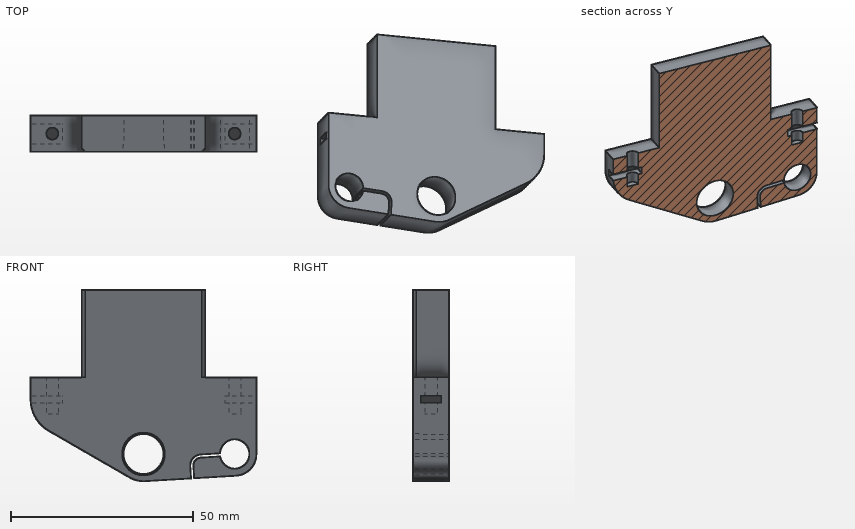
import cadquery as cq
import math

thickness = 10.0
half_width = 31.0
shoulder_z = 21.0

block_half_width = 17.0
block_top_z = 45.0
block_chamfer = 1.0

bore_boss_radius = 7.5
clamp_boss_radius = 6.0
left_corner_radius = 10.0
left_corner_z = 15.0

bore_diameter = 10.95
bore_mouth_diameter = 11.75
bore_taper_depth = 3.0

clamp_x = half_width - clamp_boss_radius
clamp_diameter = 8.0
slit_width = 0.8
slit_length = 11.92
slit_bend_radius = 2.6

screw_x = 25.0
screw_diameter = 3.3
screw_depth = 10.0
nut_width = 5.5
nut_height = 1.9
nut_pocket_roof_depth = 5.0
nut_center_z = shoulder_z - nut_pocket_roof_depth - nut_height / 2
nut_pocket_end_x = screw_x - nut_width / 2

front_y = -thickness / 2
back_y = thickness / 2
bore_center = (0.0, 0.0)
clamp_center = (clamp_x, 0.0)
left_center = (left_corner_radius - half_width, left_corner_z)


def point_at(center, radius, angle):
    """Point on a circle at an angle in radians."""
    return (center[0] + radius * math.cos(angle), center[1] + radius * math.sin(angle))


def lower_tangent_angle(left, left_radius, right, right_radius):
    """Angle of the contact points of the line that touches both circles from below."""
    dx = right[0] - left[0]
    dz = right[1] - left[1]
    slope = math.atan2(dz, dx)
    lift = math.asin((left_radius - right_radius) / math.hypot(dx, dz))
    return slope + lift - math.pi / 2


slope_angle = lower_tangent_angle(left_center, left_corner_radius, bore_center, bore_boss_radius)
base_angle = lower_tangent_angle(bore_center, bore_boss_radius, clamp_center, clamp_boss_radius)


def front_plane(y):
    """XZ workplane at the given Y, with its normal pointing to -Y."""
    return cq.Workplane("XZ", origin=(0, y, 0))


def lower_plate():
    """Plate whose lower outline wraps the left corner, the bore boss and the clamp boss."""
    left_mid = (slope_angle - math.pi) / 2
    bore_mid = (slope_angle + base_angle) / 2
    clamp_mid = base_angle / 2
    outline = (
        front_plane(back_y)
        .moveTo(-half_width, shoulder_z)
        .lineTo(-half_width, left_corner_z)
        .threePointArc(
            point_at(left_center, left_corner_radius, left_mid),
            point_at(left_center, left_corner_radius, slope_angle),
        )
        .lineTo(*point_at(bore_center, bore_boss_radius, slope_angle))
        .threePointArc(
            point_at(bore_center, bore_boss_radius, bore_mid),
            point_at(bore_center, bore_boss_radius, base_angle),
        )
        .lineTo(*point_at(clamp_center, clamp_boss_radius, base_angle))
        .threePointArc(
            point_at(clamp_center, clamp_boss_radius, clamp_mid),
            (half_width, 0),
        )
        .lineTo(half_width, shoulder_z)
        .close()
    )
    return outline.extrude(thickness)


def upper_block():
    """Block on the shoulders with its two front upright edges chamfered."""
    height = block_top_z - shoulder_z
    block = cq.Workplane("XY", origin=(0, 0, shoulder_z)).box(
        2 * block_half_width, thickness, height, centered=(True, True, False)
    )
    return block.edges("|Z and <Y").chamfer(block_chamfer)


def tapered_bore():
    """Through bore with a cone that opens at the front face."""
    straight = front_plane(back_y).circle(bore_diameter / 2).extrude(thickness)
    taper = (
        front_plane(front_y + bore_taper_depth)
        .circle(bore_diameter / 2)
        .workplane(offset=bore_taper_depth)
        .circle(bore_mouth_diameter / 2)
        .loft()
    )
    return straight.union(taper)


def slit_corner(edge_x, edge_z, bend_radius):
    """Cutter right of edge_x and below edge_z with its upper left corner rounded."""
    drop = 2 * clamp_boss_radius
    block = (
        front_plane(back_y)
        .moveTo(edge_x, edge_z)
        .lineTo(0, edge_z)
        .lineTo(0, -drop)
        .lineTo(edge_x, -drop)
        .close()
        .extrude(thickness)
    )
    return block.edges("|Y and <X and >Z").fillet(bend_radius)


def clamp_cut():
    """Clamp hole with a bent slit that leaves through the sloping base."""
    hole = (
        front_plane(back_y)
        .center(*clamp_center)
        .circle(clamp_diameter / 2)
        .extrude(thickness)
    )
    half_slit = slit_width / 2
    outer = slit_corner(-slit_length - half_slit, half_slit, slit_bend_radius + half_slit)
    inner = slit_corner(-slit_length + half_slit, -half_slit, slit_bend_radius - half_slit)
    slit = outer.cut(inner)
    tilt = math.degrees(base_angle) + 90
    slit = slit.rotate((0, 0, 0), (0, -1, 0), tilt).translate((clamp_x, 0, 0))
    return hole.union(slit)


def screw_and_nut_cut(side):
    """Blind screw hole in one shoulder and the nut pocket across it (side: -1 left, 1 right)."""
    screw = (
        cq.Workplane("XY", origin=(side * screw_x, 0, shoulder_z - screw_depth))
        .circle(screw_diameter / 2)
        .extrude(screw_depth)
    )
    pocket_length = half_width - nut_pocket_end_x
    pocket_x = side * (half_width + nut_pocket_end_x) / 2
    pocket = cq.Workplane("XY", origin=(pocket_x, 0, nut_center_z)).box(
        pocket_length, nut_width, nut_height
    )
    return screw.union(pocket)


result = lower_plate().union(upper_block())
result = result.cut(tapered_bore()).cut(clamp_cut())
for side in (-1, 1):
    result = result.cut(screw_and_nut_cut(side))